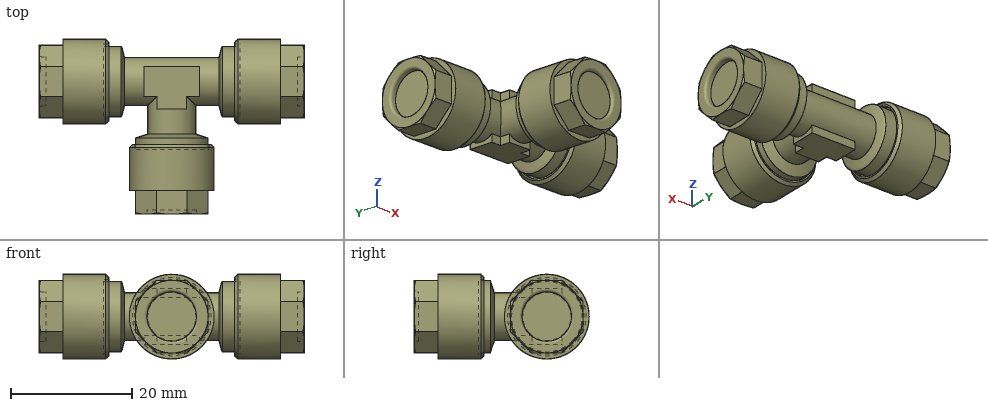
import cadquery as cq
import math

arm_reach = 21.9
run_angles = (0, 180)
branch_angle = -90

tube_radius = 4.0

run_collar_radius = 5.83
run_cone_start = 7.8
run_bend_start = 8.15
run_bend_radial_height = 0.45
run_cone_end = 8.35
branch_collar_radius = 6.0
branch_cone_start = 8.67
branch_cone_end = 9.35

head_length = 3.9
head_flats = 12.0
head_corner_diameter = head_flats / math.cos(math.pi / 8)
head_chamfer_angle = 25.0
sleeve_radius = 7.0
sleeve_length = 7.6
sleeve_chamfer = 0.53
head_start = arm_reach - head_length
sleeve_start = head_start - sleeve_length

rim_width = 0.3
gap_radius = sleeve_radius - sleeve_chamfer - rim_width
gap_depth = 0.88

socket_radius = 4.07
mouth_rounding = 0.5
run_socket_depth = 1.15
branch_socket_depth = 0.7

pad_width = 4.95
pad_reach = 4.55
pad_height = 9.3


def rod(start, end, radius):
    """Cylinder along +X."""
    return cq.Workplane("YZ").workplane(offset=start).circle(radius).extrude(end - start)


def revolve_about_x(outline):
    """Full turn of a closed outline about the X axis."""
    return outline.close().revolve(360, (0, 0, 0), (1, 0, 0))


def tube_with_collar(shoulder, radius):
    """Tube and collar along +X; the shoulder outline ends at the collar radius."""
    collar_end = sleeve_start + gap_depth
    return revolve_about_x(shoulder.lineTo(collar_end, radius).lineTo(collar_end, 0).lineTo(0, 0))


def run_tube():
    """Tube and collar of a run arm, with a cone that bends over towards its cylinder."""
    shoulder = (
        cq.Workplane("XY")
        .moveTo(0, tube_radius)
        .lineTo(run_cone_start, tube_radius)
        .lineTo(run_bend_start, run_collar_radius - run_bend_radial_height)
        .tangentArcPoint((run_cone_end, run_collar_radius), relative=False)
    )
    return tube_with_collar(shoulder, run_collar_radius)


def branch_tube():
    """Tube and collar of the branch arm, with a plain cone."""
    shoulder = (
        cq.Workplane("XY")
        .moveTo(0, tube_radius)
        .lineTo(branch_cone_start, tube_radius)
        .lineTo(branch_cone_end, branch_collar_radius)
    )
    return tube_with_collar(shoulder, branch_collar_radius)


def sleeve():
    """Round part of the nut, chamfered at its inner end and open around the collar."""
    blank = rod(sleeve_start, head_start, sleeve_radius).faces("<X").chamfer(sleeve_chamfer)
    return blank.cut(rod(sleeve_start, sleeve_start + gap_depth, gap_radius))


def octagon_head():
    """Octagonal head with flats square to the axes and its outer corners turned down."""
    corner_height = (head_corner_diameter - head_flats) / 2
    chamfer_length = corner_height * math.tan(math.radians(head_chamfer_angle))
    half_facet_angle = 180 / 8
    head = (
        cq.Workplane("YZ")
        .workplane(offset=head_start)
        .transformed(rotate=(0, 0, half_facet_angle))
        .polygon(8, head_corner_diameter)
        .extrude(head_length)
    )
    turned_blank = rod(head_start, arm_reach, head_corner_diameter / 2)
    return head.intersect(turned_blank.faces(">X").chamfer(chamfer_length, corner_height))


def socket(depth):
    """Blind hole whose mouth flares out along a quarter round."""
    return revolve_about_x(
        cq.Workplane("XY")
        .moveTo(arm_reach - depth, 0)
        .lineTo(arm_reach - depth, socket_radius)
        .lineTo(arm_reach - mouth_rounding, socket_radius)
        .radiusArc((arm_reach, socket_radius + mouth_rounding), -mouth_rounding)
        .lineTo(arm_reach, 0)
    )


def arm(tube, socket_depth):
    """One complete arm along +X: tube, collar and nut."""
    nut = sleeve().union(octagon_head()).cut(socket(socket_depth))
    return tube.union(nut)


def turned(solid, angle):
    """Solid turned about the Z axis."""
    return solid.rotate((0, 0, 0), (0, 0, 1), angle)


def pad():
    """T-shaped block through the junction, standing proud above and below the tubes."""
    crossbar = cq.Workplane("XY").box(2 * pad_reach, pad_width, pad_height)
    stem = cq.Workplane("XY").box(pad_width, pad_reach, pad_height).translate((0, -pad_reach / 2, 0))
    return crossbar.union(stem)


run_arm = arm(run_tube(), run_socket_depth)
branch_arm = arm(branch_tube(), branch_socket_depth)

result = pad()
for run_angle in run_angles:
    result = result.union(turned(run_arm, run_angle))
result = result.union(turned(branch_arm, branch_angle))